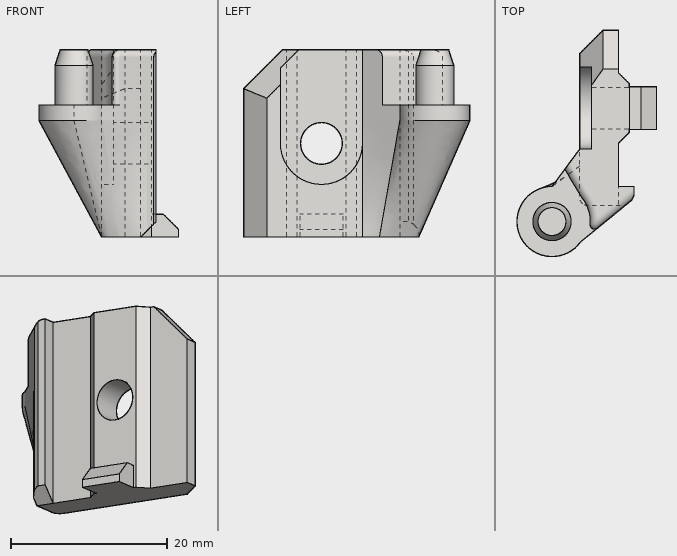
import cadquery as cq
import math

height = 24.0

plate_thickness = 5.0
plate_end = 9.98
end_bevel = 3.0
corner_cut = 5.0
recess_radius = 5.25
recess_depth = 1.5
hole_diameter = 5.3
hole_height = height / 2
neck_start = -recess_radius

ridge_face = 6.38
ridge_half_base = 4.5
ridge_half_top = 3.13
foot_half_width = 2.75
foot_reach = 9.85
foot_flat = 7.9
foot_height = 2.95
foot_lip = 1.02

pin_x, pin_y = -3.55, -14.53
pin_diameter = 4.9
pin_tip_diameter = 3.57
pin_tip_length = 2.03
disc_radius = 4.5
disc_top = 16.95
disc_bottom = 14.94
pin_clearance = 4.9
rim_radius = 1.0
upright_radius = 0.58

wing_x = 7.0
wing_back = -10.03
wing_tip = -11.15
wing_corner = (6.67, -11.8)
wing_inner_x = 5.85
wing_bevel = wing_x - plate_thickness
disc_exit_angle = -36.0

support_corner = 1.02
support_seam_x = 2.3
support_seam_y = -7.42

wall_bend_angle = 40.0
wall_end_angle = -13.0
wall_cut_angle = -40.0
wall_middle_angle = (wall_bend_angle + wall_end_angle) / 2
wall_start = (-1.88, -7.83)


def around_pin(radius, angle):
    """Point at a radius and an angle in degrees about the pin axis."""
    turn = math.radians(angle)
    return (pin_x + radius * math.cos(turn), pin_y + radius * math.sin(turn))


disc_exit = around_pin(disc_radius, disc_exit_angle)
wing_slope = (wing_corner[1] - disc_exit[1]) / (wing_corner[0] - disc_exit[0])
wing_inner = (wing_inner_x, disc_exit[1] + wing_slope * (wing_inner_x - disc_exit[0]))
wing_sharp_tip = (wing_x, disc_exit[1] + wing_slope * (wing_x - disc_exit[0]))


def make_plate():
    outline = [
        (neck_start, 0),
        (plate_end, 0),
        (plate_end, height - corner_cut),
        (plate_end - corner_cut, height),
        (neck_start, height),
    ]
    plate = cq.Workplane("YZ").polyline(outline).close().extrude(plate_thickness)
    return plate.faces("<X").edges(">Y or (not (|Y or |Z))").chamfer(end_bevel)


def make_ridge():
    outline = [
        (plate_thickness, -ridge_half_base),
        (ridge_face, -ridge_half_top),
        (ridge_face, ridge_half_top),
        (plate_thickness, ridge_half_base),
    ]
    return cq.Workplane("XY").polyline(outline).close().extrude(height)


def make_foot():
    outline = [
        (plate_thickness, 0),
        (foot_reach, 0),
        (foot_reach, foot_lip),
        (foot_flat, foot_height),
        (plate_thickness, foot_height),
    ]
    return cq.Workplane("XZ").polyline(outline).close().extrude(foot_half_width, both=True)


def make_arm():
    """Upper arm: neck, disc and wing, with the space around the pin cut away."""
    arm = (
        cq.Workplane("XY", origin=(0, 0, disc_bottom))
        .moveTo(plate_thickness, neck_start)
        .lineTo(0, neck_start)
        .lineTo(*around_pin(disc_radius, 90))
        .threePointArc(around_pin(disc_radius, 180), disc_exit)
        .lineTo(*wing_sharp_tip)
        .lineTo(wing_x, wing_back)
        .lineTo(plate_thickness, wing_back)
        .close()
        .extrude(height - disc_bottom)
    )
    bend = around_pin(pin_clearance, wall_bend_angle)
    far_x = pin_x - 2 * disc_radius
    far_y = pin_y - 2 * disc_radius
    slope_x = (bend[0] - wall_start[0]) / (bend[1] - wall_start[1])
    beyond_neck = (wall_start[0] + slope_x * disc_radius, wall_start[1] + disc_radius)
    clearance = (
        cq.Workplane("XY", origin=(0, 0, disc_top))
        .moveTo(*beyond_neck)
        .lineTo(*bend)
        .threePointArc(around_pin(pin_clearance, 0), around_pin(pin_clearance, wall_cut_angle))
        .lineTo(pin_x + pin_clearance, far_y)
        .lineTo(far_x, far_y)
        .lineTo(far_x, beyond_neck[1])
        .close()
        .extrude(height)
    )
    return round_arm(arm.cut(clearance))


def edge_near(body, point):
    return body.edges(cq.selectors.NearestToPointSelector(point))


def round_arm(arm):
    """Round the upright edge at the end of the wall, then the rims of the wall and wing."""
    upright = (*around_pin(pin_clearance, wall_end_angle), (disc_top + height) / 2)
    arm = edge_near(arm, upright).fillet(upright_radius)
    bend = around_pin(pin_clearance, wall_bend_angle)
    wall_middle = ((wall_start[0] + bend[0]) / 2, (wall_start[1] + bend[1]) / 2, height)
    rims = (
        edge_near(arm, wall_middle)
        .add(edge_near(arm, (*around_pin(pin_clearance, wall_middle_angle), height)))
        .add(edge_near(arm, (*wing_inner, height)))
    )
    return rims.fillet(rim_radius)


def make_support():
    """Ruled taper from the disc outline down to a rounded corner at the underside."""
    corner_mid = support_corner * (1 - math.sqrt(0.5))
    bottom = (
        cq.Workplane("XY")
        .moveTo(plate_thickness, neck_start)
        .lineTo(0, neck_start)
        .lineTo(0, support_seam_y)
        .lineTo(0, wing_inner[1] + support_corner)
        .threePointArc((corner_mid, wing_inner[1] + corner_mid), (support_corner, wing_inner[1]))
        .lineTo(support_seam_x, wing_inner[1])
        .lineTo(wing_inner_x, wing_inner[1])
        .lineTo(wing_inner_x, wing_back)
        .lineTo(plate_thickness, wing_back)
        .close()
    )
    top = (
        cq.Workplane("XY", origin=(0, 0, disc_bottom))
        .moveTo(plate_thickness, neck_start)
        .lineTo(0, neck_start)
        .lineTo(*around_pin(disc_radius, 90))
        .threePointArc(around_pin(disc_radius, 135), around_pin(disc_radius, 180))
        .threePointArc(around_pin(disc_radius, 225), around_pin(disc_radius, 270))
        .threePointArc(around_pin(disc_radius, (disc_exit_angle - 90) / 2), disc_exit)
        .lineTo(*wing_inner)
        .lineTo(wing_inner_x, wing_back)
        .lineTo(plate_thickness, wing_back)
        .close()
    )
    wires = [bottom.val(), top.val()]
    return cq.Workplane(cq.Solid.makeLoft(wires, True))


def make_lower_wing():
    outline = [
        (plate_thickness, wing_back),
        (wing_x, wing_back),
        wing_sharp_tip,
        wing_inner,
        (plate_thickness, wing_inner[1]),
    ]
    return cq.Workplane("XY").polyline(outline).close().extrude(disc_bottom)


def make_wing_bevel():
    outline = [
        (plate_thickness, 0),
        (wing_x, wing_bevel),
        (wing_x, 0),
    ]
    return (
        cq.Workplane("XZ", origin=(0, wing_back, 0))
        .polyline(outline)
        .close()
        .extrude(disc_radius)
    )


def make_tip_bevel():
    outline = [wing_corner, wing_sharp_tip, (wing_x, wing_tip)]
    return cq.Workplane("XY").polyline(outline).close().extrude(height)


def make_recess():
    slot = (
        cq.Workplane("YZ")
        .moveTo(-recess_radius, height)
        .lineTo(-recess_radius, hole_height)
        .threePointArc((0, hole_height - recess_radius), (recess_radius, hole_height))
        .lineTo(recess_radius, height)
        .close()
        .extrude(recess_depth)
    )
    hole = cq.Workplane("YZ").center(0, hole_height).circle(hole_diameter / 2).extrude(foot_reach)
    return slot.union(hole)


def make_pin():
    pin = (
        cq.Workplane("XY", origin=(pin_x, pin_y, disc_top))
        .circle(pin_diameter / 2)
        .extrude(height - disc_top - pin_tip_length)
    )
    tip = (
        cq.Workplane("XY", origin=(pin_x, pin_y, height - pin_tip_length))
        .circle(pin_diameter / 2)
        .workplane(offset=pin_tip_length)
        .circle(pin_tip_diameter / 2)
        .loft()
    )
    return pin.union(tip)


result = (
    make_plate()
    .union(make_ridge())
    .union(make_foot())
    .union(make_arm())
    .union(make_support())
    .union(make_lower_wing())
    .cut(make_wing_bevel())
    .cut(make_tip_bevel())
    .cut(make_recess())
    .union(make_pin())
)